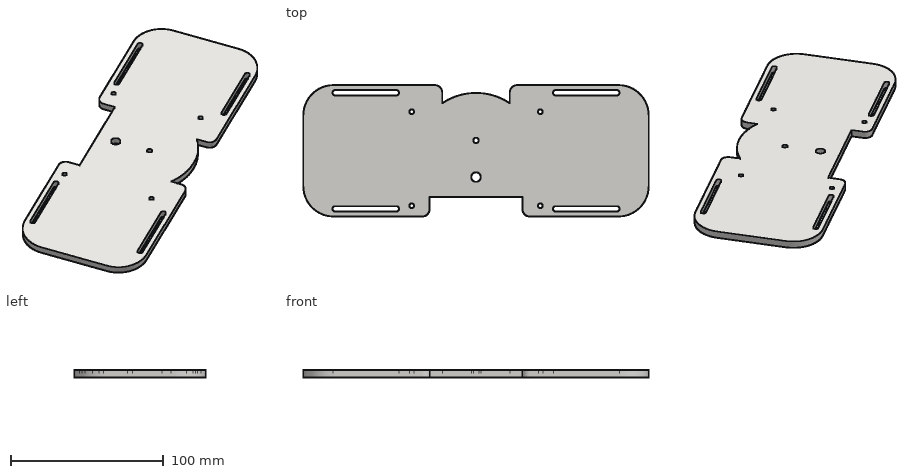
import cadquery as cq

length = 226.0
width = 86.0
thickness = 5.0
corner_radius = 20.0

rear_notch_width = 44.0
rear_notch_floor = 31.2
front_notch_width = 60.5
front_notch_floor = -30.3
notch_corner_radius = 5.0
crown_top = 38.0

small_hole_diameter = 3.0
small_hole_x = 42.0
small_hole_rear_y = 25.5
small_hole_front_y = -36.0
center_hole_diameter = 3.5
center_hole_y = 6.8
large_hole_diameter = 6.0
large_hole_y = -17.2

slot_length = 43.5
slot_width = 3.5
slot_x = 72.0
slot_y = 38.0

half_width = width / 2
rear_notch_x = rear_notch_width / 2
front_notch_x = front_notch_width / 2


def make_plate():
    """Rounded rectangle with its underside on Z = 0."""
    plate = cq.Workplane("XY").box(length, width, thickness, centered=(True, True, False))
    return plate.edges("|Z").fillet(corner_radius)


def make_front_notch():
    """Rectangular cutter that opens the front edge."""
    depth = front_notch_floor + half_width
    return (
        cq.Workplane("XY")
        .center(0, front_notch_floor - depth / 2)
        .rect(front_notch_width, depth)
        .extrude(thickness)
    )


def make_rear_notch():
    """Cutter for the rear edge that leaves an arched crown as its floor."""
    return (
        cq.Workplane("XY")
        .moveTo(-rear_notch_x, half_width)
        .lineTo(-rear_notch_x, rear_notch_floor)
        .threePointArc((0, crown_top), (rear_notch_x, rear_notch_floor))
        .lineTo(rear_notch_x, half_width)
        .close()
        .extrude(thickness)
    )


def round_notch_mouth(body, notch_x, edge_y):
    """Round the two corners where a notch meets the long edge at edge_y."""
    for x in (-notch_x, notch_x):
        corner = cq.selectors.NearestToPointSelector((x, edge_y, thickness / 2))
        body = body.edges("|Z").edges(corner).fillet(notch_corner_radius)
    return body


def make_holes(diameter, centers):
    """Through-hole cutters at the given centers."""
    return cq.Workplane("XY").pushPoints(centers).circle(diameter / 2).extrude(thickness)


def make_slots():
    """Four round-ended slots along the long edges."""
    centers = [(x, y) for x in (-slot_x, slot_x) for y in (-slot_y, slot_y)]
    return cq.Workplane("XY").pushPoints(centers).slot2D(slot_length, slot_width).extrude(thickness)


small_hole_centers = [
    (x, y)
    for x in (-small_hole_x, small_hole_x)
    for y in (small_hole_front_y, small_hole_rear_y)
]

result = make_plate().cut(make_front_notch()).cut(make_rear_notch())
result = round_notch_mouth(result, front_notch_x, -half_width)
result = round_notch_mouth(result, rear_notch_x, half_width)
result = result.cut(make_holes(small_hole_diameter, small_hole_centers))
result = result.cut(make_holes(center_hole_diameter, [(0, center_hole_y)]))
result = result.cut(make_holes(large_hole_diameter, [(0, large_hole_y)]))
result = result.cut(make_slots())